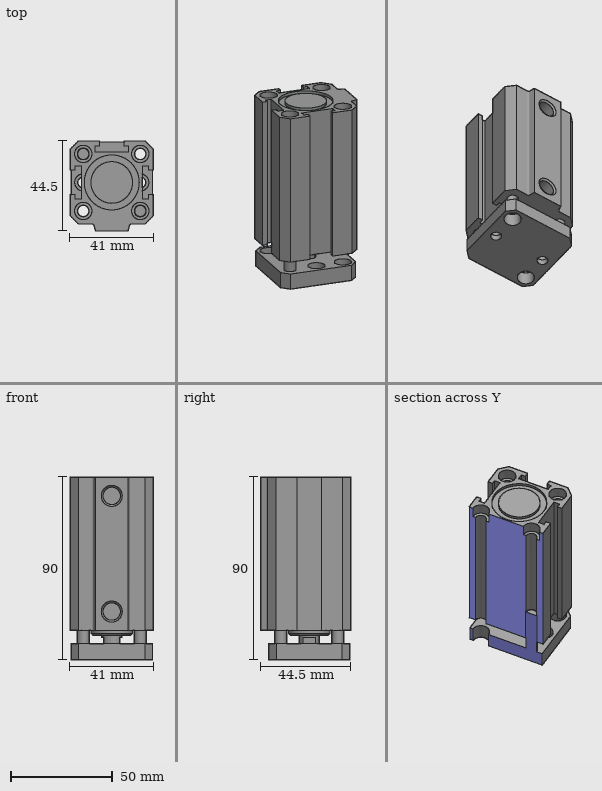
import cadquery as cq

total_height = 90.0
plate_thickness = 8.0
housing_bottom = 14.5
housing_height = total_height - housing_bottom

housing_width = 41.0
housing_half = housing_width / 2
housing_chamfer = 4.1
overall_depth = 44.5
port_face_y = housing_half - overall_depth
port_rib_half_width = 8.0
port_rib_root_half_width = 9.0
port_rib_root_fillet = 1.0

slot_neck_width = 12.1
slot_lip = 2.5
slot_inner_width = 16.4
slot_depth = 5.5

corner_offset = 14.0
screw_hole_diameter = 5.5
counterbore_diameter = 8.55
counterbore_depth = 5.6

port_diameter = 8.55
port_mouth_diameter = 10.35
port_mouth_depth = (port_mouth_diameter - port_diameter) / 2
port_depth = 9.0
port_end_distance = 9.3

cap_recess_diameter = 27.1
cap_disc_diameter = 20.5
cap_recess_depth = 1.35

collar_diameter = 20.5
collar_height = 2.4
collar_chamfer = 1.0

plate_width_x = 40.1
plate_width_y = 40.0
plate_chamfer = 3.8
rod_diameter = 10.0
rod_flat_width = 8.0
rod_flat_top = 11.0
guide_diameter = 6.0
rod_engagement = 18.0
plate_corner_hole_diameter = 8.5
plate_side_hole_diameter = 5.3
plate_side_counterbore_diameter = 8.5
plate_side_counterbore_depth = 4.7

rod_top = housing_bottom + rod_engagement
guide_points = [(-corner_offset, corner_offset), (corner_offset, -corner_offset)]
open_points = [(-corner_offset, -corner_offset), (corner_offset, corner_offset)]
side_points = [(-corner_offset, 0), (corner_offset, 0)]


def cylinder(diameter, bottom, top, points=((0, 0),)):
    """Upright cylinders between two heights, one at each point."""
    base = cq.Workplane("XY", origin=(0, 0, bottom)).pushPoints(points)
    return base.circle(diameter / 2).extrude(top - bottom)


def housing_blank():
    """Chamfered square bar with the port rib on its -Y side."""
    bar = (
        cq.Workplane("XY", origin=(0, 0, housing_bottom))
        .rect(housing_width, housing_width)
        .extrude(housing_height)
        .edges("|Z")
        .chamfer(housing_chamfer)
    )
    rib = (
        cq.Workplane("XY", origin=(0, 0, housing_bottom))
        .moveTo(-port_rib_root_half_width, 0)
        .lineTo(-port_rib_root_half_width, -housing_half)
        .lineTo(-port_rib_half_width, port_face_y)
        .lineTo(port_rib_half_width, port_face_y)
        .lineTo(port_rib_root_half_width, -housing_half)
        .lineTo(port_rib_root_half_width, 0)
        .close()
        .extrude(housing_height)
    )
    blank = bar.union(rib)
    for side in (-1, 1):
        root = cq.selectors.NearestToPointSelector(
            (side * port_rib_root_half_width, -housing_half, housing_bottom + housing_height / 2)
        )
        blank = blank.edges("|Z").edges(root).fillet(port_rib_root_fillet)
    return blank


def t_slot(angle):
    """Full-height T-slot cutter for the +Y side, turned about Z by the angle."""
    start = cq.Workplane("XY", origin=(0, 0, housing_bottom))
    neck = start.center(0, housing_half - slot_depth / 2).rect(slot_neck_width, slot_depth)
    neck = neck.extrude(housing_height)
    inner_depth = slot_depth - slot_lip
    inner = start.center(0, housing_half - slot_lip - inner_depth / 2).rect(slot_inner_width, inner_depth)
    inner = inner.extrude(housing_height)
    return neck.union(inner).rotate((0, 0, 0), (0, 0, 1), angle)


def port(height):
    """Cutter for one port with a conical mouth, bored toward +Y."""
    return (
        cq.Workplane("XY", origin=(0, port_face_y, height))
        .lineTo(port_mouth_diameter / 2, 0)
        .lineTo(port_diameter / 2, port_mouth_depth)
        .lineTo(port_diameter / 2, port_depth)
        .lineTo(0, port_depth)
        .close()
        .revolve(360, (0, 0, 0), (0, 1, 0))
    )


def make_housing():
    body = housing_blank()
    for angle in (0, 90, -90):
        body = body.cut(t_slot(angle))

    recess_floor = total_height - cap_recess_depth
    groove = cylinder(cap_recess_diameter, recess_floor, total_height)
    body = body.cut(groove.cut(cylinder(cap_disc_diameter, recess_floor, total_height)))

    collar = cylinder(collar_diameter, housing_bottom - collar_height, housing_bottom)
    body = body.union(collar.faces("<Z").chamfer(collar_chamfer))

    corners = guide_points + open_points
    body = body.cut(cylinder(screw_hole_diameter, housing_bottom, total_height, corners))
    body = body.cut(cylinder(counterbore_diameter, total_height - counterbore_depth, total_height, corners))

    for height in (housing_bottom + port_end_distance, total_height - port_end_distance):
        body = body.cut(port(height))

    body = body.cut(cylinder(rod_diameter, 0, rod_top))
    return body.cut(cylinder(guide_diameter, 0, rod_top, guide_points))


def make_slide():
    """End plate with the piston rod and two guide rods."""
    plate = cq.Workplane("XY").rect(plate_width_x, plate_width_y).extrude(plate_thickness)
    plate = plate.edges("|Z").chamfer(plate_chamfer)

    plate = plate.cut(cylinder(plate_corner_hole_diameter, 0, plate_thickness, open_points))
    plate = plate.cut(cylinder(plate_side_hole_diameter, 0, plate_thickness, side_points))
    seat = plate_thickness - plate_side_counterbore_depth
    plate = plate.cut(cylinder(plate_side_counterbore_diameter, seat, plate_thickness, side_points))

    flats = cq.Workplane("XY").rect(rod_flat_width, rod_diameter).extrude(rod_flat_top)
    rod = cylinder(rod_diameter, 0, rod_flat_top).intersect(flats)
    rod = rod.union(cylinder(rod_diameter, rod_flat_top, rod_top))

    return plate.union(rod).union(cylinder(guide_diameter, 0, rod_top, guide_points))


housing = make_housing()
slide = make_slide()

result = cq.Compound.makeCompound([housing.solids().val(), slide.solids().val()])